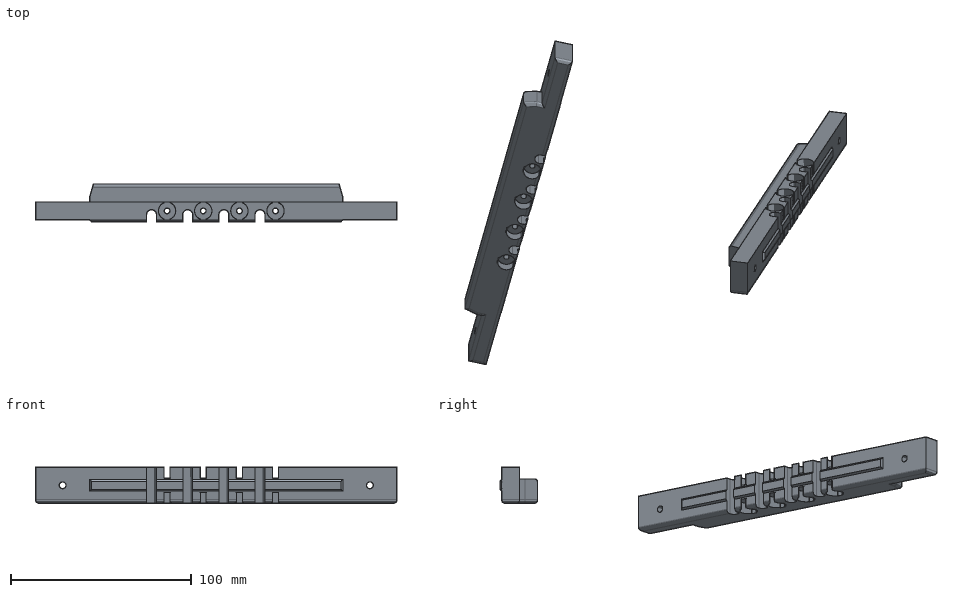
import cadquery as cq
import math

bar_length = 200
bar_depth = 10
bar_height = 20
edge_radius = 2

tongue_length = 140
tongue_depth = 10
tongue_height = 13.5
tongue_straight = 3.0
tongue_end_inset = 2

rib_length = 140
rib_height = 6.5
rib_proud = 1.0
rib_bevel = 1.0

station_count = 4
station_pitch = 20
first_groove_x = -35.8
groove_to_pocket = 8.5
groove_diameter = 5.5
groove_depth = 5.5
pocket_diameter = 9.5
pocket_depth = 6
pocket_gap_width = 3.2
pocket_hole_diameter = 3.0

mount_hole_diameter = 3.5
mount_hole_inset = 15.0

bar_mid_y = bar_depth / 2
bar_mid_z = bar_height / 2


def make_bar():
    return cq.Workplane("XY").box(bar_length, bar_depth, bar_height, centered=(True, False, False))


def make_tongue():
    """Tongue with tapered ends whose upper back edge is rounded."""
    half_base = tongue_length / 2
    half_back = half_base - tongue_end_inset
    taper_y = bar_depth + tongue_straight
    back_y = bar_depth + tongue_depth
    outline = [
        (-half_base, bar_depth),
        (half_base, bar_depth),
        (half_base, taper_y),
        (half_back, back_y),
        (-half_back, back_y),
        (-half_base, taper_y),
    ]
    tongue = cq.Workplane("XY").polyline(outline).close().extrude(tongue_height)
    return tongue.edges(">Y and >Z").fillet(edge_radius)


def make_rib():
    """Rib standing proud of the front face, with all four sides bevelled."""
    bevel_angle = math.degrees(math.atan2(rib_bevel, rib_proud))
    base = cq.Workplane("XZ", origin=(0, 0, bar_mid_z)).rect(rib_length, rib_height)
    return base.extrude(rib_proud, taper=bevel_angle)


def make_groove(groove_x):
    """U-shaped vertical groove, open through the front of the bar and the rib."""
    radius = groove_diameter / 2
    round_y = groove_depth - radius
    return (
        cq.Workplane("XY")
        .moveTo(groove_x - radius, -rib_proud)
        .lineTo(groove_x - radius, round_y)
        .threePointArc((groove_x, groove_depth), (groove_x + radius, round_y))
        .lineTo(groove_x + radius, -rib_proud)
        .close()
        .extrude(bar_height)
    )


def make_pockets(pocket_x):
    """Round pockets in the top and underside, gapped front and back, joined by a small hole."""
    column = cq.Workplane("XY").center(pocket_x, bar_mid_y)
    round_pocket = column.circle(pocket_diameter / 2).extrude(pocket_depth)
    gap = column.rect(pocket_gap_width, bar_depth).extrude(pocket_depth)
    lower_pocket = round_pocket.union(gap)
    upper_pocket = lower_pocket.translate((0, 0, bar_height - pocket_depth))
    hole = column.circle(pocket_hole_diameter / 2).extrude(bar_height)
    return lower_pocket.union(upper_pocket).union(hole)


def make_mount_holes():
    mount_x = bar_length / 2 - mount_hole_inset
    return (
        cq.Workplane("XZ", origin=(0, 0, bar_mid_z))
        .pushPoints([(-mount_x, 0), (mount_x, 0)])
        .circle(mount_hole_diameter / 2)
        .extrude(-bar_depth)
    )


result = make_bar().union(make_tongue())
result = result.faces("<Z").edges().fillet(edge_radius)
result = result.union(make_rib())
for station in range(station_count):
    station_x = first_groove_x + station * station_pitch
    result = result.cut(make_groove(station_x))
    result = result.cut(make_pockets(station_x + groove_to_pocket))
result = result.cut(make_mount_holes())